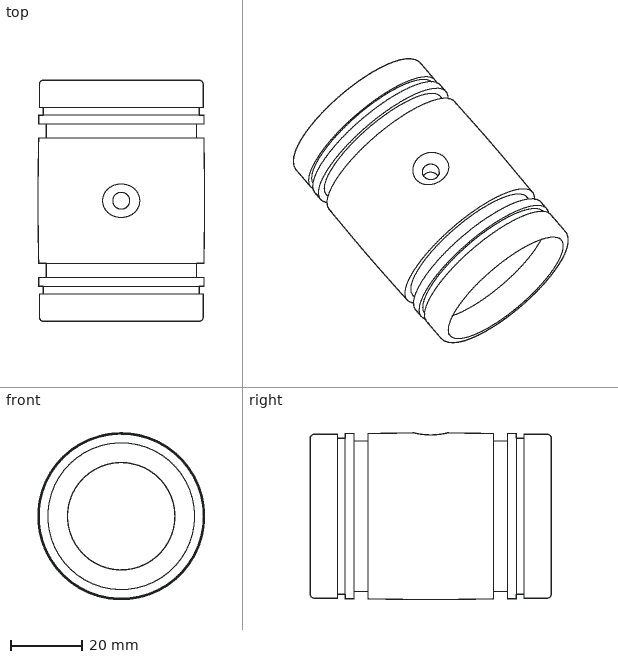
import cadquery as cq

length = 67.75
half_length = length / 2
crown_radius = 23.45
body_end_radius = 23.25
flange_radius = 23.25
land_radius = 23.05

land_end = 7.7
flange_start = 9.8
flange_end = 12.4
body_start = 16.25
outer_groove_radius = 21.95
inner_groove_radius = 21.15
rim_fillet = 1.2

bore_radius = 15.05
counterbore_radius = 20.6
counterbore_depth = 8.0
bore_fillet = 1.8

hole_radius = 2.4
countersink_length = 9.4
countersink_width = 12.05
countersink_depth = 2.65


def ring_pair(radius, start, end):
    """Matching solid discs between two distances inward from each end face."""
    disc = cq.Workplane("XZ", origin=(0, half_length - start, 0)).circle(radius).extrude(end - start)
    return disc.union(disc.mirror("XZ"))


def crowned_body():
    """Barrel-shaped middle of the sleeve."""
    half_body = half_length - body_start
    profile = (
        cq.Workplane("XY")
        .moveTo(0, -half_body)
        .lineTo(body_end_radius, -half_body)
        .threePointArc((crown_radius, 0), (body_end_radius, half_body))
        .lineTo(0, half_body)
        .close()
    )
    return profile.revolve(360, (0, 0, 0), (0, 1, 0))


def outer_body():
    """Crowned body with two grooves, a flange and a rounded land at each end."""
    body = crowned_body()
    body = body.union(ring_pair(inner_groove_radius, flange_end, body_start))
    body = body.union(ring_pair(flange_radius, flange_start, flange_end))
    body = body.union(ring_pair(outer_groove_radius, land_end, flange_start))
    body = body.union(ring_pair(land_radius, 0, land_end))
    return body.faces("<Y or >Y").edges().fillet(rim_fillet)


def stepped_bore():
    """Through bore with a rounded mouth opening into a counterbore at each end."""
    floor_y = half_length - counterbore_depth
    mouth_radius = bore_radius + bore_fillet
    profile = (
        cq.Workplane("XY")
        .moveTo(0, -floor_y)
        .lineTo(mouth_radius, -floor_y)
        .radiusArc((bore_radius, bore_fillet - floor_y), bore_fillet)
        .lineTo(bore_radius, floor_y - bore_fillet)
        .radiusArc((mouth_radius, floor_y), bore_fillet)
        .lineTo(0, floor_y)
        .close()
    )
    bore = profile.revolve(360, (0, 0, 0), (0, 1, 0))
    return bore.union(ring_pair(counterbore_radius, 0, counterbore_depth))


def radial_hole():
    """Round hole with a flared, slightly oval countersink in the top wall."""
    hole = cq.Workplane("XY").circle(hole_radius).extrude(crown_radius)
    countersink = (
        cq.Workplane("XY", origin=(0, 0, crown_radius - countersink_depth))
        .circle(hole_radius)
        .workplane(offset=countersink_depth)
        .ellipse(countersink_width / 2, countersink_length / 2)
        .loft()
    )
    return hole.union(countersink)


result = outer_body().cut(stepped_bore()).cut(radial_hole())